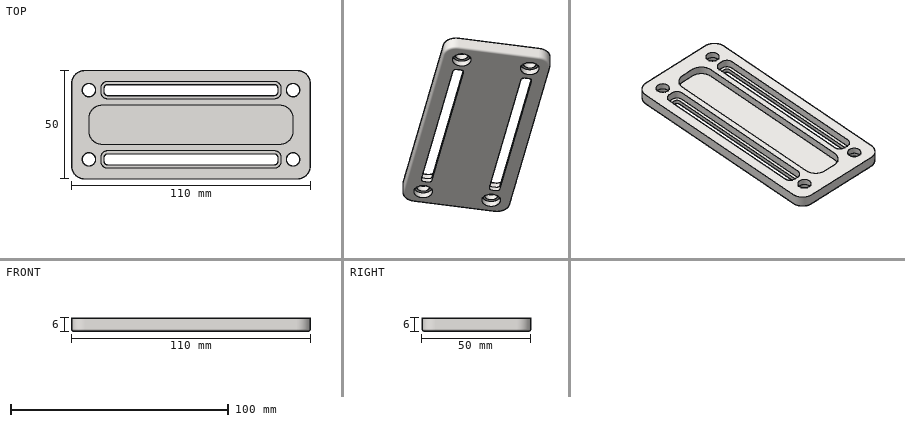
import cadquery as cq

length = 110
width = 50.0
thickness = 6.0
corner_radius = 6.0
bottom_edge_round = 1.0

recess_depth = 4.0
pocket_length = 94.0
pocket_width = 18.0
pocket_radius = 6.0

slot_length = 80.0
slot_width = 5.0
slot_radius = 1.5
slot_ledge = 1.5
row_offset = 16.0

hole_diameter = 6.0
counterbore_diameter = 8.5
counterbore_depth = 3.0
hole_offset = pocket_length / 2


def rounded_block(size_x, size_y, height, radius):
    """Block standing on Z = 0 with rounded vertical edges."""
    block = cq.Workplane("XY").rect(size_x, size_y).extrude(height)
    return block.edges("|Z").fillet(radius)


def top_recess(size_x, size_y, radius):
    """Cutter that reaches from the top face down to the recess floor."""
    cutter = rounded_block(size_x, size_y, recess_depth, radius)
    return cutter.translate((0, 0, thickness - recess_depth))


def stepped_slot():
    """Through slot surrounded by an even ledge at recess depth."""
    through = rounded_block(slot_length, slot_width, thickness, slot_radius)
    upper = top_recess(
        slot_length + 2 * slot_ledge,
        slot_width + 2 * slot_ledge,
        slot_radius + slot_ledge,
    )
    return through.union(upper)


def screw_hole():
    """Through hole with a counterbore opening at the bottom face."""
    shank = cq.Workplane("XY").circle(hole_diameter / 2).extrude(thickness)
    head = cq.Workplane("XY").circle(counterbore_diameter / 2).extrude(counterbore_depth)
    return shank.union(head)


plate = rounded_block(length, width, thickness, corner_radius)
plate = plate.faces("<Z").edges().fillet(bottom_edge_round)
plate = plate.cut(top_recess(pocket_length, pocket_width, pocket_radius))

for y in (-row_offset, row_offset):
    plate = plate.cut(stepped_slot().translate((0, y, 0)))
    for x in (-hole_offset, hole_offset):
        plate = plate.cut(screw_hole().translate((x, y, 0)))

result = plate